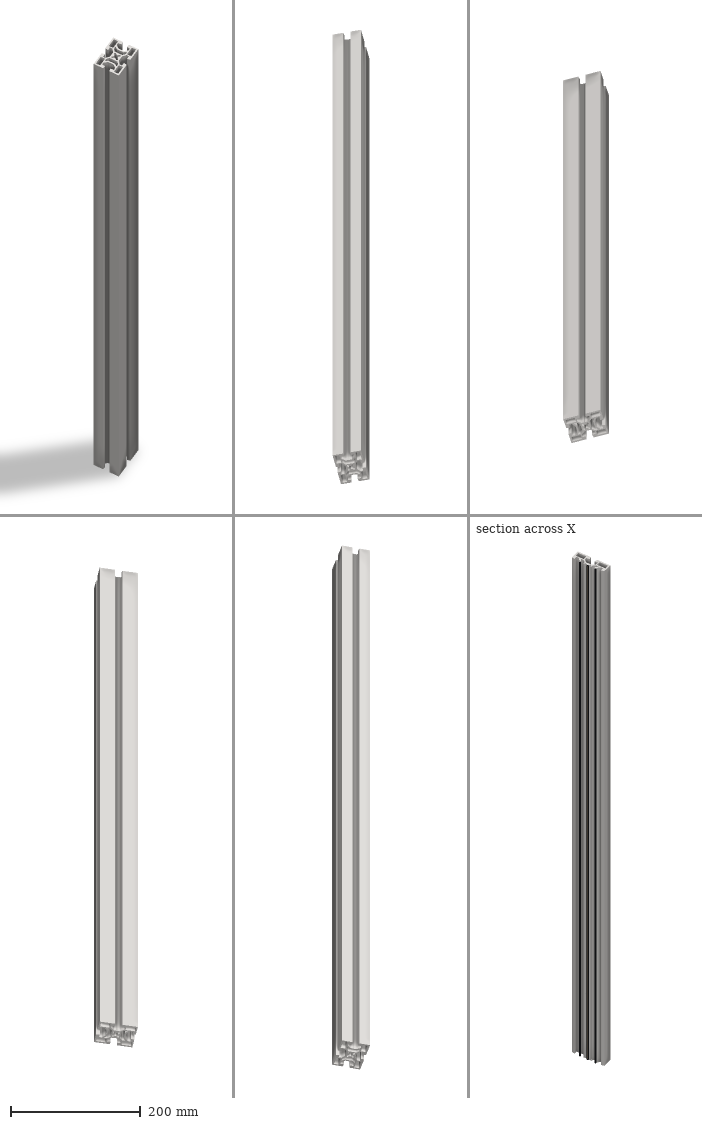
import cadquery as cq
import math

width = 45.0
depth = 60.0
length = 1000.0

slot_opening = 9.8
mouth_flare = 0.8
mouth_flare_depth = 4.0
lip_thickness = 5.5
undercut_depth = 9.0
undercut_width = 21.0
floor_width = 9.8
flank_angle = 39.0
centre_groove_width = 1.0
centre_groove_depth = 0.5

chamber_wall = 2.6
chamber_width = 7.5
chamber_height = 15.0

web_thickness = 2.5
hollow_width = 21.0
hollow_roof_width = 12.0
hollow_base_width = 14.0
core_height = 15.0

core_hole_diameter = 6.5
lobe_span = 15.0
lobe_width = 3.0
lobe_angles = (45, 135)

slot_depth = lip_thickness + undercut_depth
flank_slope = math.tan(math.radians(flank_angle))


def mirrored_prism(right_half):
    """Extrude an outline given by its right half, listed from one end of the Y axis to the other."""
    left_half = [(-x, y) for x, y in reversed(right_half) if x > 0]
    return cq.Workplane("XY").polyline(right_half + left_half).close().extrude(length)


def turned(body, angle):
    return body.rotate((0, 0, 0), (0, 0, 1), angle)


def slot(face_y):
    """T-slot open towards +Y: flared mouth, undercut, sloping flanks and a grooved floor."""
    mouth_half = slot_opening / 2
    undercut_half = undercut_width / 2
    floor_half = floor_width / 2
    lip_y = face_y - lip_thickness
    floor_y = face_y - slot_depth
    flank_y = floor_y + (undercut_half - floor_half) * flank_slope
    return mirrored_prism(
        [
            (mouth_half + mouth_flare, face_y),
            (mouth_half, face_y - mouth_flare_depth),
            (mouth_half, lip_y),
            (undercut_half, lip_y),
            (undercut_half, flank_y),
            (floor_half, floor_y),
            (centre_groove_width / 2, floor_y),
            (0, floor_y - centre_groove_depth),
        ]
    )


def hollow():
    """Hollow on the +Y side of the core, its slopes parallel to the flanks of the slots around it."""
    half = hollow_width / 2
    roof_half = hollow_roof_width / 2
    base_half = hollow_base_width / 2
    base_y = core_height / 2
    roof_y = depth / 2 - slot_depth - web_thickness
    return mirrored_prism(
        [
            (base_half, base_y),
            (half, base_y + (half - base_half) / flank_slope),
            (half, roof_y + (half - roof_half) * flank_slope),
            (roof_half, roof_y),
        ]
    )


def corner_chambers():
    x = width / 2 - chamber_wall - chamber_width / 2
    y = depth / 2 - chamber_wall - chamber_height / 2
    centres = [(side_x * x, side_y * y) for side_x in (-1, 1) for side_y in (-1, 1)]
    return cq.Workplane("XY").pushPoints(centres).rect(chamber_width, chamber_height).extrude(length)


def core_hole():
    hole = cq.Workplane("XY").circle(core_hole_diameter / 2).extrude(length)
    lobe_pair = cq.Workplane("XY").slot2D(lobe_span, lobe_width).extrude(length)
    for angle in lobe_angles:
        hole = hole.union(turned(lobe_pair, angle))
    return hole


result = cq.Workplane("XY").rect(width, depth).extrude(length)
for half_turn in (0, 180):
    result = result.cut(turned(slot(depth / 2), half_turn))
    result = result.cut(turned(slot(width / 2), half_turn + 90))
    result = result.cut(turned(hollow(), half_turn))
result = result.cut(corner_chambers())
result = result.cut(core_hole())